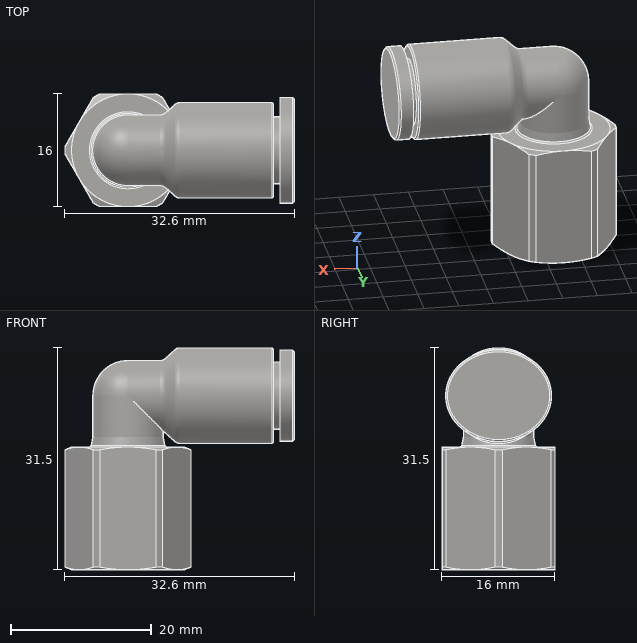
import cadquery as cq
import math

HEX_FLATS = 16.0
HEX_HEIGHT = 17.4
HEX_TURNED_RADIUS = 8.95
HEX_CHAMFER_ANGLE = 22

AXIS_HEIGHT = 24.7
ELBOW_RADIUS = 5.0

FLARE_HEIGHT = 1.4
FLARE_RADIUS = 5.25
FOOT_CHAMFER = 0.23

SLEEVE_RADIUS = 6.8
CONE_START = 4.98
CONE_END = 6.95
CONE_BLEND_RADIUS = 1.0
EDGE_SEARCH_MARGIN = 0.33
SLEEVE_END = 20.67
SLEEVE_CHAMFER = 0.23

OVERALL_LENGTH = 32.55
RING_WIDTH = 15.05
RING_HEIGHT = 13.0
RING_THICKNESS = 2.05
RING_CHAMFER = 0.25
NECK_RADIUS = 4.8

RING_END = OVERALL_LENGTH - HEX_TURNED_RADIUS
RING_START = RING_END - RING_THICKNESS


def swivel_nut():
    """Hexagon with its corners turned round and a conical chamfer at both ends."""
    corner_diameter = HEX_FLATS / math.cos(math.radians(30))
    prism = cq.Workplane("XY").polygon(6, corner_diameter).extrude(HEX_HEIGHT)
    chamfer_radius = HEX_FLATS / 2
    drop = (HEX_TURNED_RADIUS - chamfer_radius) * math.tan(math.radians(HEX_CHAMFER_ANGLE))
    envelope = (
        cq.Workplane("XZ")
        .moveTo(0, 0)
        .lineTo(chamfer_radius, 0)
        .lineTo(HEX_TURNED_RADIUS, drop)
        .lineTo(HEX_TURNED_RADIUS, HEX_HEIGHT - drop)
        .lineTo(chamfer_radius, HEX_HEIGHT)
        .lineTo(0, HEX_HEIGHT)
        .close()
        .revolve(360, (0, 0, 0), (0, 1, 0))
    )
    return prism.intersect(envelope)


def vertical_leg():
    """Upright cylinder from the nut to the bend, with a flared foot."""
    return (
        cq.Workplane("XZ")
        .moveTo(0, HEX_HEIGHT)
        .lineTo(FLARE_RADIUS + FOOT_CHAMFER, HEX_HEIGHT)
        .lineTo(FLARE_RADIUS, HEX_HEIGHT + FOOT_CHAMFER)
        .lineTo(ELBOW_RADIUS, HEX_HEIGHT + FLARE_HEIGHT)
        .lineTo(ELBOW_RADIUS, AXIS_HEIGHT)
        .lineTo(0, AXIS_HEIGHT)
        .close()
        .revolve(360, (0, 0, 0), (0, 1, 0))
    )


def bend_ball():
    return cq.Workplane("XY").sphere(ELBOW_RADIUS).translate((0, 0, AXIS_HEIGHT))


def sleeve():
    """Horizontal leg widening through a blended cone into the sleeve, then the neck."""
    body = (
        cq.Workplane("XZ")
        .moveTo(0, 0)
        .lineTo(0, ELBOW_RADIUS)
        .lineTo(CONE_START, ELBOW_RADIUS)
        .lineTo(CONE_END, SLEEVE_RADIUS)
        .lineTo(SLEEVE_END, SLEEVE_RADIUS)
        .lineTo(SLEEVE_END, 0)
        .close()
        .revolve(360, (0, 0, 0), (1, 0, 0))
    )
    body = body.faces(">X").chamfer(SLEEVE_CHAMFER)
    reach = SLEEVE_RADIUS + EDGE_SEARCH_MARGIN
    for cone_edge_x in (CONE_START, CONE_END):
        cone_edge = cq.selectors.BoxSelector(
            (cone_edge_x - EDGE_SEARCH_MARGIN, -reach, -reach),
            (cone_edge_x + EDGE_SEARCH_MARGIN, reach, reach),
            boundingbox=True,
        )
        body = body.edges(cone_edge).edges("%CIRCLE").fillet(CONE_BLEND_RADIUS)
    neck = (
        cq.Workplane("YZ", origin=(SLEEVE_END, 0, 0))
        .circle(NECK_RADIUS)
        .extrude(RING_START - SLEEVE_END)
    )
    return body.union(neck).translate((0, 0, AXIS_HEIGHT))


def release_ring():
    return (
        cq.Workplane("YZ", origin=(RING_START, 0, AXIS_HEIGHT))
        .ellipse(RING_WIDTH / 2, RING_HEIGHT / 2)
        .extrude(RING_THICKNESS)
        .faces(">X")
        .chamfer(RING_CHAMFER)
    )


result = (
    swivel_nut()
    .union(vertical_leg())
    .union(bend_ball())
    .union(sleeve())
    .union(release_ring())
)